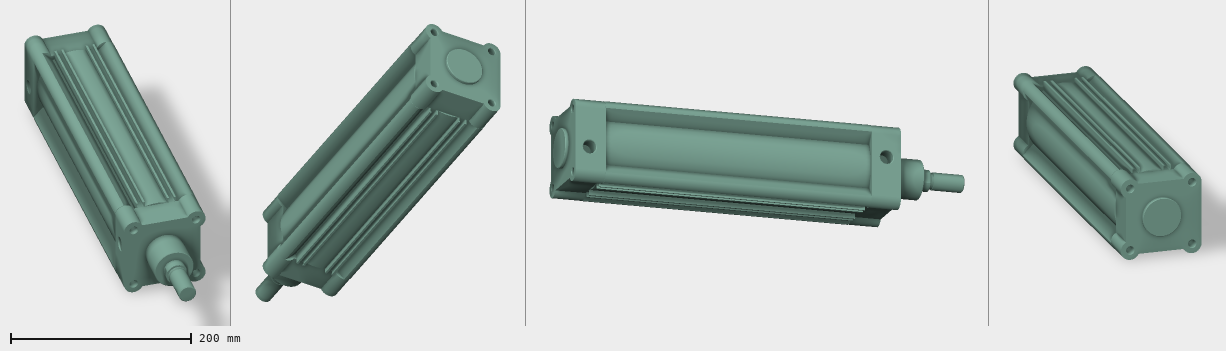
import cadquery as cq
import math


body_length = 378.0
tail_cap_length = 35.0
head_cap_length = 34.0
barrel_length = body_length - tail_cap_length - head_cap_length
barrel_start = tail_cap_length
head_cap_start = barrel_start + barrel_length

body_width = 94.0
half_width = body_width / 2

tie_rod_offset = 36.0
lobe_radius = half_width - tie_rod_offset
cap_face_offset = 41.0
screw_hole_diameter = 8.5
screw_hole_mouth = 10.0
screw_hole_depth = 17.0
port_diameter = 15.0
port_mouth = 16.6
port_depth = 20.0
port_from_end = 16.5
port_height = 9.2

collar_diameter = 45.0
tail_collar_length = 4.0
head_collar_length = 35.3
collar_chamfer = 0.7

barrel_radius = 43.0
corner_radius = 10.0
corner_center = half_width - corner_radius
rail_center = 18.0
rail_width = 10.2
rail_slot_opening = 5.6
rail_slot_width = 7.8
rail_slot_floor = 40.8
rail_slot_fillet = 1.2
rail_lip_thickness = 1.4

rod_diameter = 24.5
rod_shoulder = 46.0
wrench_flat_width = 22.0
wrench_flat_length = 9.2
neck_diameter = 18.0
neck_length = 4.5
neck_taper_length = 1.5
thread_diameter = 20.0
thread_length = 40.0
thread_chamfer = 1.0

corner_signs = [(sy, sz) for sy in (-1, 1) for sz in (-1, 1)]


def section(x):
    """Workplane across the axis: local x is Y, local y is Z, extruding toward +X."""
    return cq.Workplane("YZ", origin=(x, 0, 0))


def make_cap_block(start, length):
    """Cap with a round lobe at each tie rod and a flat port side at -Y."""
    port_side = (
        section(start)
        .center((cap_face_offset - half_width) / 2, 0)
        .rect(cap_face_offset + half_width, 2 * tie_rod_offset)
        .extrude(length)
    )
    core = (
        section(start)
        .center((cap_face_offset - tie_rod_offset) / 2, 0)
        .rect(cap_face_offset + tie_rod_offset, 2 * cap_face_offset)
        .extrude(length)
    )
    tie_rod_points = [(sy * tie_rod_offset, sz * tie_rod_offset) for sy, sz in corner_signs]
    lobes = section(start).pushPoints(tie_rod_points).circle(lobe_radius).extrude(length)
    return port_side.union(core).union(lobes)


def make_countersunk_hole(diameter, mouth, depth):
    """Cutter along +Z from the origin: a blind hole with a 45 degree countersink at its mouth."""
    countersink_depth = (mouth - diameter) / 2
    return (
        cq.Workplane("XZ")
        .lineTo(mouth / 2, 0)
        .lineTo(diameter / 2, countersink_depth)
        .lineTo(diameter / 2, depth)
        .lineTo(0, depth)
        .close()
        .revolve(360, (0, 0), (0, 1))
    )


def cut_screw_holes(cap, end_x, direction):
    """Tie rod screw holes in a cap's outer end; direction is +1 to bore toward +X, -1 toward -X."""
    hole = make_countersunk_hole(screw_hole_diameter, screw_hole_mouth, screw_hole_depth)
    hole = hole.rotate((0, 0, 0), (0, 1, 0), direction * 90)
    for sy, sz in corner_signs:
        cap = cap.cut(hole.translate((end_x, sy * tie_rod_offset, sz * tie_rod_offset)))
    return cap


def make_port(x, z):
    """Blind air port bored from the -Y side."""
    port = make_countersunk_hole(port_diameter, port_mouth, port_depth)
    return port.rotate((0, 0, 0), (1, 0, 0), -90).translate((x, -half_width, z))


def make_collar(base, length, outer_end):
    """Round collar on a cap's outer end at base; outer_end selects the face to chamfer."""
    return section(base).circle(collar_diameter / 2).extrude(length).faces(outer_end).chamfer(collar_chamfer)


def make_tail_cap():
    cap = make_cap_block(0, tail_cap_length)
    cap = cap.union(make_collar(0, -tail_collar_length, "<X"))
    cap = cut_screw_holes(cap, 0, 1)
    return cap.cut(make_port(port_from_end, -port_height))


def make_head_cap():
    cap = make_cap_block(head_cap_start, head_cap_length)
    cap = cap.union(make_collar(body_length, head_collar_length, ">X"))
    cap = cut_screw_holes(cap, body_length, -1)
    return cap.cut(make_port(body_length - port_from_end, port_height))


def make_corner(sy, sz):
    """Barrel corner: an outer arc with 45 degree flanks running in to the round tube."""
    flank = corner_center
    diagonal = corner_center + corner_radius * math.sqrt(0.5)
    return (
        section(barrel_start)
        .moveTo(0, sz * (flank - half_width))
        .lineTo(sy * half_width, sz * flank)
        .threePointArc((sy * diagonal, sz * diagonal), (sy * flank, sz * half_width))
        .lineTo(sy * (flank - half_width), 0)
        .close()
        .extrude(barrel_length)
    )


def make_rail_bar(sy, width, bottom, top):
    """Bar along the barrel at a sensor rail's place, spanning the given heights."""
    return (
        section(barrel_start)
        .center(sy * rail_center, (bottom + top) / 2)
        .rect(width, top - bottom)
        .extrude(barrel_length)
    )


def make_rail(sy, sz):
    """Sensor rail above (sz = 1) or below (sz = -1) the tube, with a T-slot rounded at its floor."""
    slot_ceiling = half_width - rail_lip_thickness
    slot = make_rail_bar(sy, rail_slot_width, rail_slot_floor, slot_ceiling)
    slot = slot.edges("|X and <Z").fillet(rail_slot_fillet)
    opening = make_rail_bar(sy, rail_slot_opening, rail_slot_floor, half_width)
    rail = make_rail_bar(sy, rail_width, 0, half_width).cut(slot).cut(opening)
    return rail if sz > 0 else rail.mirror("XY")


def make_barrel():
    barrel = section(barrel_start).circle(barrel_radius).extrude(barrel_length)
    for sy, sz in corner_signs:
        barrel = barrel.union(make_corner(sy, sz))
        barrel = barrel.union(make_rail(sy, sz))
    return barrel


def make_rod():
    """Visible rod end: shank with wrench flats, undercut neck and threaded tip."""
    shank_start = body_length + head_collar_length
    shoulder = body_length + rod_shoulder
    shank = section(shank_start).circle(rod_diameter / 2).extrude(shoulder - shank_start)
    for side in (-1, 1):
        flat = (
            section(shoulder)
            .center(side * (wrench_flat_width + rod_diameter) / 2, 0)
            .rect(rod_diameter, rod_diameter)
            .extrude(-wrench_flat_length)
        )
        shank = shank.cut(flat)
    neck = section(shoulder).circle(neck_diameter / 2).extrude(neck_length)
    neck_taper = (
        section(shoulder)
        .circle(thread_diameter / 2)
        .workplane(offset=neck_taper_length)
        .circle(neck_diameter / 2)
        .loft()
    )
    thread = (
        section(shoulder + neck_length)
        .circle(thread_diameter / 2)
        .extrude(thread_length - neck_length)
        .faces(">X")
        .chamfer(thread_chamfer)
    )
    return shank.union(neck).union(neck_taper).union(thread)


tail_cap = make_tail_cap()
barrel = make_barrel()
head_cap = make_head_cap()
rod = make_rod()

bodies = [tail_cap, barrel, head_cap, rod]
result = cq.Compound.makeCompound([body.solids().val() for body in bodies])